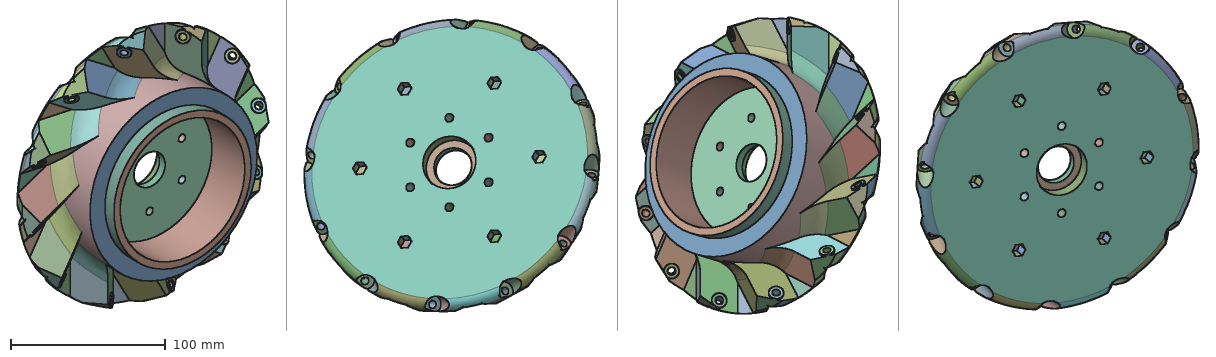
import cadquery as cq
import math

wheel_radius = 97.4
rim_fillet = 6.0
drum_radius = 134.0 / 2
drum_end = 42.0
spigot_radius = 110.0 / 2
spigot_end = 51.8

cavity_radius = 100.0 / 2
cavity_floor = 16.0
bearing_radius = 35.0 / 2
bearing_depth = 9.7
bore_radius = 25.0 / 2
bolt_count = 6
hub_hole_diameter = 5.5
hub_hole_circle = 30.0
hub_hole_start_angle = 90.0
nut_across_corners = 9.2
nut_circle = 59.5
nut_depth = 9.7

roller_count = 12
pitch_angle = 360.0 / roller_count
tilt = math.radians(45.0)
roller_axis_radius = 86.7

lug_face = -41.0
lug_side = 12.3
lug_chamfer_start = 83.8
lug_chamfer_angle = 35.0
boss_diameter = 9.7
boss_height = 1.2
screw_hole_diameter = 5.0
screw_head_diameter = 12.0
screw_seat = -50.0

pocket_floor = 4.5
pocket_fillet = 17.3

flange_thickness = drum_end + lug_face * math.cos(tilt) + lug_side * math.sin(tilt)
root_radius = 76.0
root_end = 31.2

overlap = 2.0
reach = 58.5

roller_plane = cq.Plane(
    origin=(drum_end, 0, 0),
    xDir=(math.sin(tilt), 0, math.cos(tilt)),
    normal=(math.cos(tilt), 0, -math.sin(tilt)),
)


def at_lug(shape, index):
    return shape.rotate((0, 0, 0), (1, 0, 0), index * pitch_angle)


def x_cylinder(radius, start, end):
    return cq.Workplane("YZ", origin=(start, 0, 0)).circle(radius).extrude(end - start)


def in_roller_frame(position):
    return cq.Workplane(roller_plane).workplane(offset=position)


def roller_axis_cylinder(diameter, start, end):
    return in_roller_frame(start).center(0, roller_axis_radius).circle(diameter / 2).extrude(end - start)


def flange_blank():
    """Rim disc with a rounded front edge and a step for the lug roots behind it."""
    disc = x_cylinder(wheel_radius, 0, flange_thickness).faces("<X").edges().fillet(rim_fillet)
    return disc.union(x_cylinder(root_radius, 0, root_end))


def space_beside_lug():
    """Space beyond the flat side of a lug, rounded where the side meets the drum."""
    space = (
        in_roller_frame(-2 * reach)
        .moveTo(lug_side, 0)
        .rect(reach, 2 * wheel_radius, centered=(False, False))
        .extrude(2 * reach)
    )
    space = space.intersect(x_cylinder(3 * wheel_radius, pocket_floor - overlap, drum_end))
    space = space.cut(x_cylinder(drum_radius, 0, drum_end))
    return space.edges("%ELLIPSE").fillet(pocket_fillet)


def pocket():
    """Roller pocket between the side of one lug and the end face of the lug before it."""
    size = 4 * wheel_radius
    beyond_face = in_roller_frame(lug_face).rect(size, size).extrude(size)
    above_floor = x_cylinder(size, pocket_floor, drum_end)
    return space_beside_lug().intersect(at_lug(beyond_face, -1)).intersect(above_floor)


def lug_chamfer():
    """Wedge that slopes the outer corner of a lug, and of its boss, along the roller axis."""
    chamfer_top = lug_chamfer_start + reach * math.tan(math.radians(lug_chamfer_angle))
    return (
        in_roller_frame(lug_face + boss_height)
        .moveTo(lug_side, lug_chamfer_start)
        .lineTo(lug_side - reach, chamfer_top)
        .lineTo(lug_side, chamfer_top)
        .close()
        .extrude(-reach)
    )


def cut_at_every_lug(body, tool):
    for index in range(roller_count):
        body = body.cut(at_lug(tool, index), clean=False)
    return body


def lugged_flange():
    """Flange with its pockets, and with a boss, screw hole and head recess on each lug."""
    flange = cut_at_every_lug(flange_blank(), pocket())
    boss = roller_axis_cylinder(boss_diameter, lug_face - overlap, lug_face + boss_height)
    for index in range(roller_count):
        flange = flange.union(at_lug(boss, index), clean=False)
    flange = cut_at_every_lug(flange, lug_chamfer())
    hole_end = lug_face + boss_height + overlap
    screw_hole = roller_axis_cylinder(screw_hole_diameter, screw_seat - overlap, hole_end)
    flange = cut_at_every_lug(flange, screw_hole)
    return cut_at_every_lug(flange, roller_axis_cylinder(screw_head_diameter, screw_seat - reach, screw_seat))


def hub_holes():
    pattern = cq.Workplane("YZ").polarArray(hub_hole_circle, hub_hole_start_angle, 360, bolt_count)
    return pattern.circle(hub_hole_diameter / 2).extrude(cavity_floor)


def nut_recesses():
    pattern = cq.Workplane("YZ").polarArray(nut_circle, 0, 360, bolt_count, rotate=False)
    return pattern.polygon(6, nut_across_corners).extrude(nut_depth)


wheel = lugged_flange()
wheel = wheel.union(x_cylinder(drum_radius, pocket_floor + overlap, drum_end), clean=False)
wheel = wheel.union(x_cylinder(spigot_radius, drum_end - overlap, spigot_end), clean=False)

wheel = wheel.cut(x_cylinder(cavity_radius, cavity_floor, spigot_end), clean=False)
wheel = wheel.cut(x_cylinder(bearing_radius, 0, bearing_depth), clean=False)
wheel = wheel.cut(x_cylinder(bore_radius, 0, spigot_end), clean=False)
wheel = wheel.cut(hub_holes(), clean=False)
wheel = wheel.cut(nut_recesses(), clean=False)

result = wheel.clean()